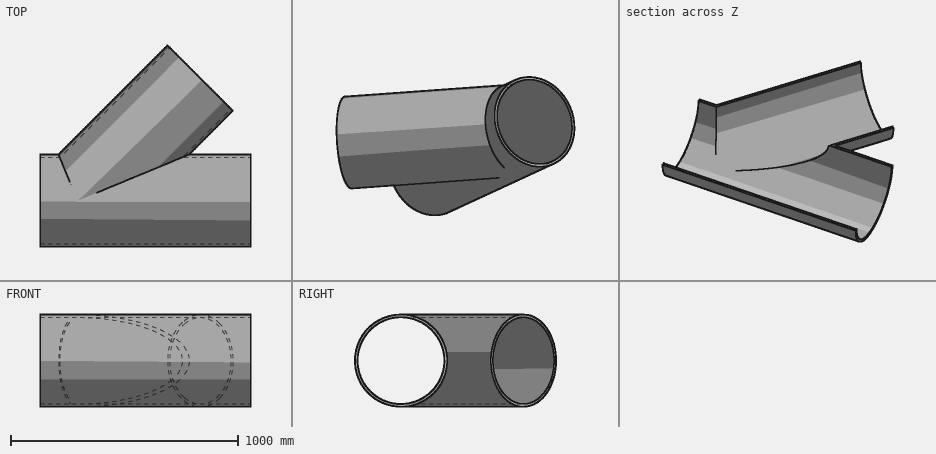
import cadquery as cq
import math

outer_diameter = 406.4
inner_diameter = 381.0
inlet_length = 165.1
outlet_length = 762.0
branch_length = outlet_length
branch_angle = math.radians(45)

run_length = inlet_length + outlet_length
run_start = cq.Vector(-inlet_length, 0, 0)
run_direction = cq.Vector(1, 0, 0)
branch_start = cq.Vector(0, 0, 0)
branch_direction = cq.Vector(math.cos(branch_angle), math.sin(branch_angle), 0)


def run_cylinder(diameter):
    """Cylinder along the whole straight run."""
    return cq.Solid.makeCylinder(diameter / 2, run_length, run_start, run_direction)


def branch_cylinder(diameter):
    """Cylinder from the axis crossing out to the end of the branch.

    Its square inner end lies wholly inside a run cylinder of the same diameter.
    """
    return cq.Solid.makeCylinder(diameter / 2, branch_length, branch_start, branch_direction)


def wye(diameter):
    """Run and branch of equal diameter joined into one solid."""
    return cq.Workplane(run_cylinder(diameter)).union(cq.Workplane(branch_cylinder(diameter)))


result = wye(outer_diameter).cut(wye(inner_diameter))